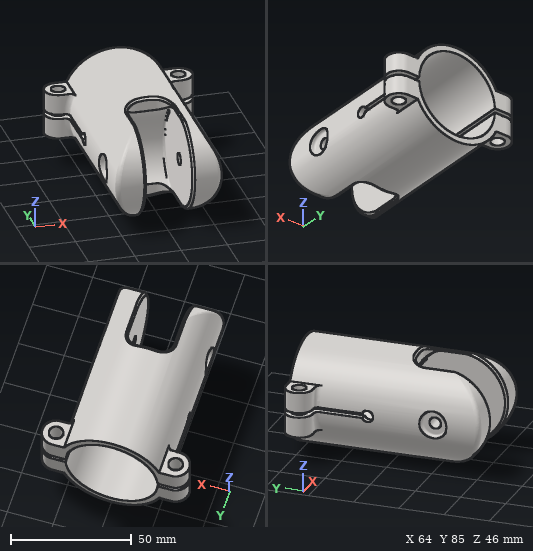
import cadquery as cq


length = 85.0
body_diameter = 46.0
tip_radius = 21.0
tip_fillet = 1.95
body_radius = body_diameter / 2
back_y = length - tip_radius

slot_width = 20.0
slot_depth = 35.0
slot_corner_radius = 6.0
slot_chamfer = 1.0
slot_end_y = slot_depth - tip_radius
pocket_radius = 22.0
pocket_fillet = 1.0

pin_diameter = 5.0
counterbore_diameter = 12.0
counterbore_depth = 3.0
counterbore_fillet = 1.0

relief_diameter = 5.0
relief_distance = 35.0
slit_width = 2.0
bore_diameter = 40.0
ear_diameter = 12.0
ear_height = 20.05
ear_spacing = 52.0
ear_fillet = 2.0
bolt_diameter = 6.0
wall_thickness = (body_diameter - bore_diameter) / 2
bore_depth = back_y - pocket_radius - wall_thickness
ear_radius = ear_diameter / 2
ear_x = ear_spacing / 2
ear_y = back_y - ear_radius

margin = 0.1


def x_cylinder(diameter, width, y=0.0):
    """Cylinder along X, centred on X = 0 and Z = 0."""
    return cq.Workplane("YZ").center(y, 0).circle(diameter / 2).extrude(width / 2, both=True)


def y_cylinder(diameter, depth):
    """Cylinder along the tube axis, starting at the back face and running toward the tip."""
    return cq.Workplane("XZ", origin=(0, back_y, 0)).circle(diameter / 2).extrude(depth)


def make_body():
    """Solid round bar whose tip is rounded about the pivot axis."""
    tip_profile = (
        cq.Workplane("YZ")
        .moveTo(back_y, body_radius)
        .lineTo(0, body_radius)
        .lineTo(0, tip_radius)
        .threePointArc((-tip_radius, 0), (0, -tip_radius))
        .lineTo(0, -body_radius)
        .lineTo(back_y, -body_radius)
        .close()
        .extrude(body_radius, both=True)
    )
    return y_cylinder(body_diameter, length).intersect(tip_profile)


def make_ears():
    """Clamp ears on both sides, joined by a bar through the body."""
    return (
        cq.Workplane("XY", origin=(0, ear_y, 0))
        .slot2D(ear_spacing + ear_diameter, ear_diameter)
        .extrude(ear_height / 2, both=True)
    )


def cut_slot(body):
    """Fork slot, open at the tip, with rounded corners at its root."""
    slot_length = slot_depth + tip_radius
    slot = (
        cq.Workplane("XY", origin=(0, slot_end_y - slot_length / 2, 0))
        .rect(slot_width, slot_length)
        .extrude(body_radius, both=True)
        .edges("|Z and >Y")
        .fillet(slot_corner_radius)
    )
    return body.cut(slot)


def chamfer_slot(body):
    """Chamfer all outer edges of the slot, leaving its upright corners alone."""
    around_slot = cq.selectors.BoxSelector(
        (-slot_width / 2 - margin, -tip_radius, -length),
        (slot_width / 2 + margin, slot_end_y + margin, length),
    )
    upright = cq.selectors.ParallelDirSelector(cq.Vector(0, 0, 1))
    return body.edges(around_slot - upright).chamfer(slot_chamfer)


def round_tip(body):
    """Fillet where the rounded tip meets the outside of both fork arms."""
    slot_half = slot_width / 2 + 2 * slot_chamfer
    near_tip = cq.selectors.BoxSelector(
        (-body_radius, -tip_radius, -body_radius), (body_radius, 0, body_radius)
    )
    near_slot = cq.selectors.BoxSelector(
        (-slot_half, -tip_radius, -body_radius), (slot_half, 0, body_radius)
    )
    return body.edges(near_tip - near_slot).fillet(tip_fillet)


def cut_pocket(body):
    """Round pocket about the pivot axis that deepens the slot root."""
    pocket = x_cylinder(2 * pocket_radius, slot_width).edges("%CIRCLE").fillet(pocket_fillet)
    return body.cut(pocket)


def add_ears(body):
    """Join the ears to the body and fillet their sides facing the tip."""
    front_of_ears = cq.selectors.BoxSelector(
        (-ear_x, ear_y - ear_radius - margin, -ear_height / 2 + margin),
        (ear_x, ear_y - ear_radius + margin, ear_height / 2 - margin),
    )
    joints = front_of_ears & cq.selectors.TypeSelector("CIRCLE")
    return body.union(make_ears()).edges(joints).fillet(ear_fillet)


def cut_pivot(body):
    """Pin hole through both fork arms, counterbored from each side."""
    body = body.cut(x_cylinder(pin_diameter, body_diameter))
    seat_x = body_radius - counterbore_depth
    for side in (-1, 1):
        counterbore = (
            cq.Workplane("YZ", origin=(side * seat_x, 0, 0))
            .circle(counterbore_diameter / 2)
            .extrude(side * counterbore_depth)
            .edges("<X" if side > 0 else ">X")
            .fillet(counterbore_fillet)
        )
        body = body.cut(counterbore)
    return body


def cut_clamp(body):
    """Socket bore, slit with relief holes at its end, and bolt holes in the ears."""
    relief_y = back_y - relief_distance
    slit = cq.Workplane("XY", origin=(0, back_y - relief_distance / 2, 0)).box(
        ear_spacing + ear_diameter, relief_distance, slit_width
    )
    bolt_holes = (
        cq.Workplane("XY", origin=(0, ear_y, 0))
        .pushPoints([(-ear_x, 0), (ear_x, 0)])
        .circle(bolt_diameter / 2)
        .extrude(ear_height / 2, both=True)
    )
    bore = y_cylinder(bore_diameter, bore_depth)
    relief_holes = x_cylinder(relief_diameter, body_diameter, relief_y)
    return body.cut(bore).cut(slit).cut(relief_holes).cut(bolt_holes)


fork = round_tip(chamfer_slot(cut_slot(make_body())))
fork = cut_pivot(cut_pocket(fork))
result = cut_clamp(add_ears(fork))